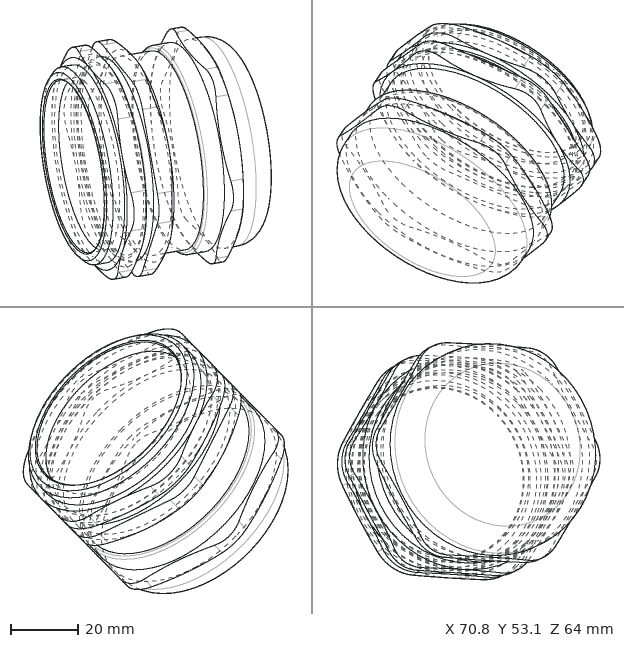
import cadquery as cq
import math

total_length = 53.1
across_flats = 64.0

thread_radius = 59.6 / 2
thread_chamfer = 1.5
undercut_chamfer = 1.1

bore_radius = 52.0 / 2
bore_depth = 5.0
bore_chamfer = 0.35

seal_outer_radius = 30.95
seal_section_radius = 1.3
seal_front = 12.2

neck_radius = 60.0 / 2

cap_radius = 63.0 / 2
cap_front = 30.0
cap_dome_fillet = 6.95
cap_front_fillet = 0.7

hex_width = 6.0
nut_front = 5.2
nut_corner_radius = 35.0
body_hex_front = 13.95
cap_hex_front = 36.1
main_corner_radius = 35.4

flat_radius = across_flats / 2
shallow_angle = 20.0
steep_angle = 30.0


def cylinder(radius, front, back):
    """Solid cylinder on the Y axis."""
    return cq.Workplane("XZ", origin=(0, front, 0)).circle(radius).extrude(front - back)


def hexagon(front, corner_radius, chamfer_radius, chamfer_angle, chamfer_front=True):
    """Hexagon with rounded corners and conical chamfers on its back and, optionally, front face."""
    back = front + hex_width
    sharp_radius = flat_radius / math.cos(math.radians(30))
    rounding = (sharp_radius - corner_radius) / (sharp_radius / flat_radius - 1)
    prism = (
        cq.Workplane("XZ", origin=(0, front, 0))
        .polygon(6, 2 * sharp_radius)
        .extrude(-hex_width)
        .edges("|Y")
        .fillet(rounding)
    )
    drop = (sharp_radius - chamfer_radius) * math.tan(math.radians(chamfer_angle))
    envelope = cq.Workplane("XY").moveTo(0, front)
    if chamfer_front:
        envelope = envelope.lineTo(chamfer_radius, front).lineTo(sharp_radius, front + drop)
    else:
        envelope = envelope.lineTo(sharp_radius, front)
    envelope = (
        envelope.lineTo(sharp_radius, back - drop)
        .lineTo(chamfer_radius, back)
        .lineTo(0, back)
        .close()
        .revolve(360, (0, 0, 0), (0, 1, 0))
    )
    return prism.intersect(envelope)


thread = cylinder(thread_radius, 0, seal_front).faces("<Y").chamfer(thread_chamfer)
thread = thread.faces(">Y").chamfer(undercut_chamfer)
seal_center_radius = seal_outer_radius - seal_section_radius
seal_core = cylinder(seal_center_radius, seal_front, body_hex_front)
seal_ring = (
    cq.Workplane("XY")
    .center(-seal_center_radius, seal_front + seal_section_radius)
    .circle(seal_section_radius)
    .revolve(360, (seal_center_radius, 0, 0), (seal_center_radius, 1, 0))
)
neck = cylinder(neck_radius, body_hex_front, cap_front)
cap = cylinder(cap_radius, cap_front, total_length).faces(">Y").edges().fillet(cap_dome_fillet)
cap = cap.faces("<Y").edges().fillet(cap_front_fillet)

lock_nut = hexagon(nut_front, nut_corner_radius, flat_radius, shallow_angle)
body_hex = hexagon(body_hex_front, main_corner_radius, flat_radius, steep_angle, chamfer_front=False)
cap_hex = hexagon(cap_hex_front, main_corner_radius, cap_radius, shallow_angle)

bore = cylinder(bore_radius, 0, bore_depth)
bore_entry = (
    cq.Workplane("XZ")
    .circle(bore_radius + bore_chamfer)
    .workplane(offset=-bore_chamfer)
    .circle(bore_radius)
    .loft()
)

result = thread
for section in (seal_core, seal_ring, neck, cap, lock_nut, body_hex, cap_hex):
    result = result.union(section)
result = result.cut(bore).cut(bore_entry)